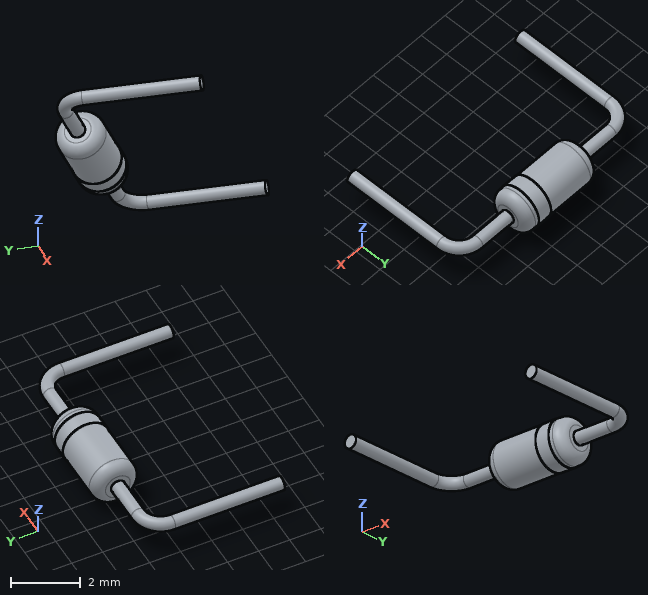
import cadquery as cq

overall_length = 7.45
lead_diameter = 0.45
lead_reach = 4.25
bend_radius = 0.72

body_length = 2.995
body_diameter = 1.5
body_edge_radius = 0.35

band_diameter = 1.52
band_start = 0.5
band_width = 0.51

lead_x = (overall_length - lead_diameter) / 2


def cylinder_along_x(start, length, diameter):
    return cq.Workplane("YZ", origin=(start, 0, 0)).circle(diameter / 2).extrude(length)


def make_body():
    body = cylinder_along_x(-body_length / 2, body_length, body_diameter)
    return body.edges("%CIRCLE").fillet(body_edge_radius)


def make_band():
    return cylinder_along_x(band_start, band_width, band_diameter)


def make_leads():
    """One wire running through the body, with both ends bent square."""
    bend_start_x = lead_x - bend_radius
    path = (
        cq.Workplane("XY")
        .moveTo(-lead_x, -lead_reach)
        .lineTo(-lead_x, -bend_radius)
        .radiusArc((-bend_start_x, 0), bend_radius)
        .lineTo(bend_start_x, 0)
        .radiusArc((lead_x, -bend_radius), bend_radius)
        .lineTo(lead_x, -lead_reach)
    )
    tip = cq.Workplane("XZ", origin=(-lead_x, -lead_reach, 0))
    return tip.circle(lead_diameter / 2).sweep(path)


result = make_body().union(make_band()).union(make_leads())